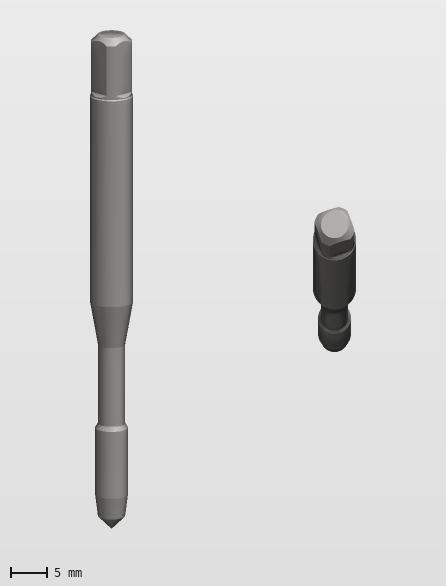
import cadquery as cq

total_length = 71.55
shank_diameter = 6.0
drive_diameter = 5.7
neck_diameter = 3.8
head_diameter = 4.6
drive_width = 4.9

flats_bottom = 63.4
shank_bottom = 32.9
shoulder_top = 62.8
neck_top = 26.7
head_top = 15.3
lead_top = 5.0

shank_radius = shank_diameter / 2
drive_radius = drive_diameter / 2
neck_radius = neck_diameter / 2
head_radius = head_diameter / 2
head_bevel = 0.65
top_chamfer = drive_radius - neck_radius
tip_height = neck_radius
shoulder_chamfer = shank_radius - drive_radius


def revolve_profile(points):
    """Revolve a closed (radius, height) outline about the Z axis."""
    return cq.Workplane("XZ").polyline(points).close().revolve(360, (0, 0, 0), (0, 1, 0))


def make_flat_cutter():
    """Cutter for the +X drive flat, ending in a 45 degree run-out."""
    inner = drive_width / 2
    outer = shank_diameter
    runout_drop = outer - inner
    profile = [
        (inner, total_length),
        (inner, flats_bottom),
        (outer, flats_bottom - runout_drop),
        (outer, total_length),
    ]
    return (
        cq.Workplane("XZ")
        .polyline(profile)
        .close()
        .extrude(shank_diameter, both=True)
    )


def make_shank():
    """Round shank with a square drive above and a reduced neck below."""
    shank = revolve_profile([
        (0, head_top),
        (neck_radius, head_top),
        (neck_radius, neck_top),
        (shank_radius, shank_bottom),
        (shank_radius, shoulder_top - shoulder_chamfer),
        (drive_radius, shoulder_top),
        (drive_radius, total_length - top_chamfer),
        (neck_radius, total_length),
        (0, total_length),
    ])
    cutter = make_flat_cutter()
    for side in range(4):
        shank = shank.cut(cutter.rotate((0, 0, 0), (0, 0, 1), 90 * side))
    return shank


def make_cutting_head():
    """Thread envelope with a bevelled top, a tapered lead and a point."""
    return revolve_profile([
        (0, 0),
        (neck_radius, tip_height),
        (head_radius, lead_top),
        (head_radius, head_top - head_bevel),
        (neck_radius, head_top),
        (0, head_top),
    ])


shank = make_shank()
cutting_head = make_cutting_head()

result = cq.Compound.makeCompound([shank.val(), cutting_head.val()])